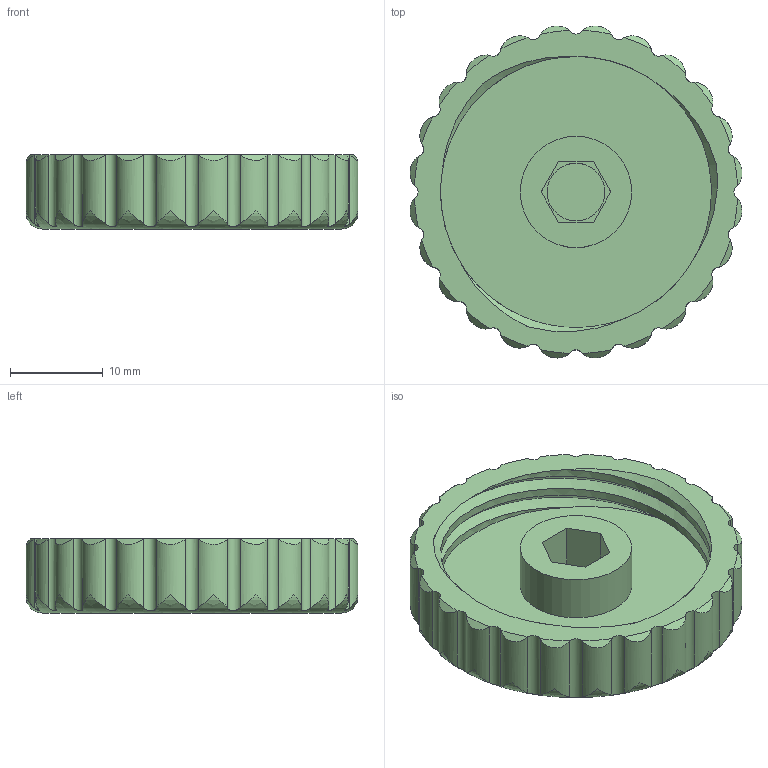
import cadquery as cq
import math

height = 8.0
lobe_tip_radius = 18.0
top_chamfer = 0.6
bottom_fillet = 2.0

lobe_count = 24
lobe_pitch = 360.0 / lobe_count
lobe_arc_radius = 2.25
lobe_center_radius = lobe_tip_radius - lobe_arc_radius
flute_bottom_radius = 17.0
flute_arc_radius = 0.8
flute_center_radius = flute_bottom_radius + flute_arc_radius

pocket_depth = 5.0
floor_height = height - pocket_depth
pocket_radius = 14.6
thread_starts = 3
thread_pitch = 2.5
thread_lead = thread_starts * thread_pitch
thread_depth = 0.8
thread_half_width = 0.8
thread_exit_angle = 11.0
thread_overlap = 0.25

boss_radius = 6.0
hex_sides = 6
hex_across_flats = 6.5
hex_depth = pocket_depth
hole_diameter = 6.2
hole_depth = 1.5


def polar(radius, angle):
    """Point in the XY plane, with the angle in degrees."""
    a = math.radians(angle)
    return (radius * math.cos(a), radius * math.sin(a))


def flute_edge():
    """Radius and angle from the flute centreline where a flute arc crosses its lobe arc."""
    lobe_x, lobe_y = polar(lobe_center_radius, lobe_pitch / 2)
    dx = lobe_x - flute_center_radius
    center_distance = math.hypot(dx, lobe_y)
    along = (center_distance**2 + flute_arc_radius**2 - lobe_arc_radius**2) / (2 * center_distance)
    across = math.sqrt(flute_arc_radius**2 - along**2)
    x = flute_center_radius + (along * dx + across * lobe_y) / center_distance
    y = (along * lobe_y - across * dx) / center_distance
    return math.hypot(x, y), math.degrees(math.atan2(y, x))


def grip_blank():
    """Scalloped prism, trimmed by a turned shape that rounds the bottom and bevels the top."""
    edge_radius, edge_angle = flute_edge()
    outline = cq.Workplane("XY").moveTo(*polar(edge_radius, -edge_angle))
    for i in range(lobe_count):
        flute = i * lobe_pitch
        outline = outline.threePointArc(
            polar(flute_bottom_radius, flute), polar(edge_radius, flute + edge_angle)
        )
        outline = outline.threePointArc(
            polar(lobe_tip_radius, flute + lobe_pitch / 2),
            polar(edge_radius, flute + lobe_pitch - edge_angle),
        )
    prism = outline.close().extrude(height)
    envelope = cq.Workplane("XY").circle(lobe_tip_radius).extrude(height)
    envelope = envelope.faces(">Z").edges().chamfer(top_chamfer)
    envelope = envelope.faces("<Z").edges().fillet(bottom_fillet)
    return prism.intersect(envelope)


def thread_groove(start_angle):
    """Helical V groove whose root meets the top face at the given angle."""
    helix_base = floor_height - thread_pitch
    helix_height = height + thread_pitch - helix_base
    base_angle = start_angle - 360.0 * (height - helix_base) / thread_lead
    inner_radius = pocket_radius - thread_overlap
    inner_half_width = thread_half_width * (thread_depth + thread_overlap) / thread_depth
    path = cq.Wire.makeHelix(thread_lead, helix_height, pocket_radius)
    groove = (
        cq.Workplane("XZ")
        .moveTo(inner_radius, -inner_half_width)
        .lineTo(pocket_radius + thread_depth, 0)
        .lineTo(inner_radius, inner_half_width)
        .close()
        .sweep(cq.Workplane(path), isFrenet=True)
    )
    groove = groove.rotate((0, 0, 0), (0, 0, 1), base_angle).translate((0, 0, helix_base))
    pocket_slab = (
        cq.Workplane("XY", origin=(0, 0, floor_height))
        .circle(lobe_tip_radius)
        .extrude(pocket_depth)
    )
    return groove.intersect(pocket_slab)


def cut_pocket(body):
    """Annular pocket around the boss with a multi-start thread in its wall."""
    pocket = (
        cq.Workplane("XY", origin=(0, 0, floor_height))
        .circle(pocket_radius)
        .circle(boss_radius)
        .extrude(pocket_depth)
    )
    body = body.cut(pocket)
    for start in range(thread_starts):
        body = body.cut(thread_groove(thread_exit_angle + start * 360.0 / thread_starts))
    return body


def cut_socket(body):
    """Hexagonal socket in the boss with a blind round hole in its floor."""
    hex_across_corners = hex_across_flats / math.cos(math.pi / hex_sides)
    socket_floor = height - hex_depth
    socket = (
        cq.Workplane("XY", origin=(0, 0, socket_floor))
        .polygon(hex_sides, hex_across_corners)
        .extrude(hex_depth)
    )
    hole = (
        cq.Workplane("XY", origin=(0, 0, socket_floor - hole_depth))
        .circle(hole_diameter / 2)
        .extrude(hole_depth)
    )
    return body.cut(socket).cut(hole)


result = cut_socket(cut_pocket(grip_blank()))